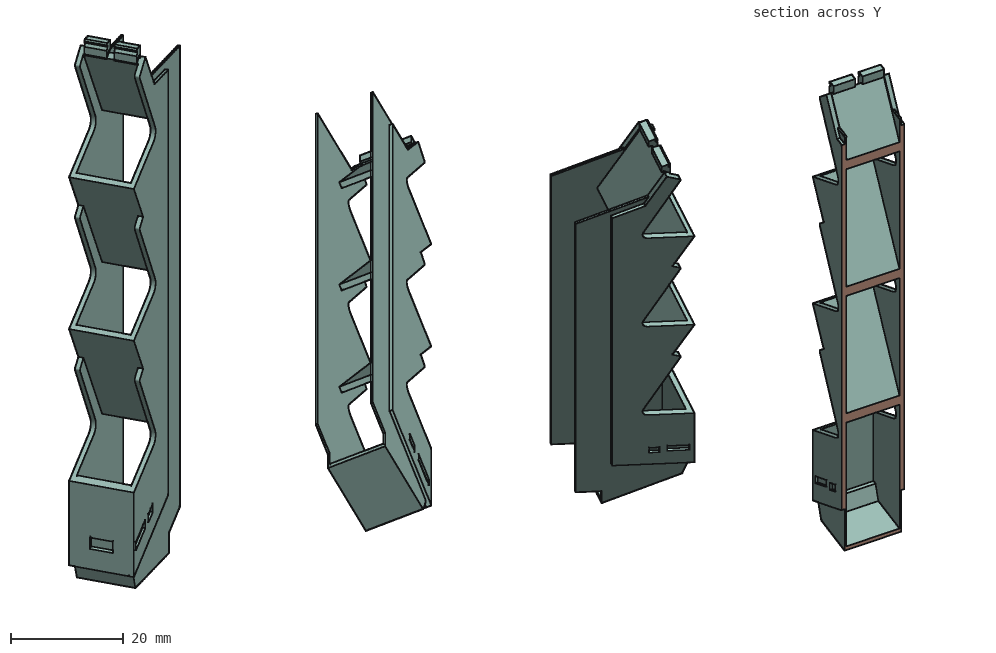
import cadquery as cq
import math

width = 12.5
depth = 22.76
height = 105.49

inner_half_width = 5.25
skirt_half_width = 5.65
cheek_half_width = width / 2
cheek_back = 15.95
cheek_top = 96.4
cheek_bottom_front = 3.25
skirt_top = 98.0
skirt_bottom_back = 6.9

base_back = 17.75
base_front_bottom = 2.15
base_front_top = 1.05
base_wall = 1.0
front_wall = 1.25

pitch = 30.0
tooth_count = 3
first_rim_height = 19.95
rim_angle = math.radians(30)
rim_slope = math.tan(rim_angle)
panel_slope = 1 / rim_slope
panel_thickness = 1.15
panel_length = 25.8
arm_thickness = 1.5
valley_depth = 10.75
valley_radius = 2.0
notch_depth = 4.28
notch_tip_depth = 2.6
notch_slope = math.tan(math.radians(45))
notch_tip_radius = 0.4

tab_inner_x = 0.72
tab_outer_x = 5.05
tab_back = 5.85
tab_front = 4.15
tab_lip_chamfer = 0.3
tab_lip_height = 0.6
tab_groove_depth = 0.4
tab_groove_height = 0.8
tab_groove_flat = 0.2

side_window_depth = 0.5
side_window_height = 1.65
side_windows = [(0.95, 5.25, 8.1), (6.75, 8.8, 11.05)]
front_window_depth = 0.5
front_window_width = 4.4
front_window_bottom = 7.25
front_window_top = 9.5


def slab(points, x_start, x_end):
    """Extrude a (Y, Z) outline between two X positions."""
    return cq.Workplane("YZ").workplane(offset=x_start).polyline(points).close().extrude(x_end - x_start)


def both_sides(solid):
    """Add the mirror image across X = 0."""
    return solid.union(solid.mirror("YZ"))


def along_rim(start, distance):
    """Move up and back, across a panel."""
    return (start[0] + distance * math.cos(rim_angle), start[1] + distance * math.sin(rim_angle))


def down_panel(start, distance):
    """Move down and back, along a panel."""
    return (start[0] + distance * math.sin(rim_angle), start[1] - distance * math.cos(rim_angle))


def rim_height(index):
    return first_rim_height + index * pitch


def notch_root(index):
    """Point on the panel above the given opening where the cheek is notched."""
    return (notch_depth, rim_height(index + 1) - notch_depth * panel_slope)


def notch_tip(index):
    root_y, root_z = notch_root(index)
    return (notch_tip_depth, root_z - (root_y - notch_tip_depth) * notch_slope)


arm_front_root = notch_root(tooth_count - 1)


def on_arm_end(thickness):
    """Point on the sloping end line, the given thickness behind the panel front."""
    run = thickness / (math.cos(rim_angle) + notch_slope * math.sin(rim_angle))
    return (arm_front_root[0] + run, arm_front_root[1] + run * notch_slope)


arm_end = on_arm_end(arm_thickness)


def arm_back(z):
    """Depth of the back edge of the arm at the given height."""
    return arm_end[0] + (arm_end[1] - z) / panel_slope


def round_corner(cheek, corner, radius):
    """Fillet the cheek edge that runs along X through a (Y, Z) corner."""
    middle = ((inner_half_width + cheek_half_width) / 2, corner[0], corner[1])
    return cheek.edges(cq.selectors.NearestToPointSelector(middle)).fillet(radius)


def make_cheek():
    outline = [(0, cheek_bottom_front)]
    for index in range(tooth_count):
        rim = rim_height(index)
        outline.append((0, rim))
        outline.append((valley_depth, rim + valley_depth * rim_slope))
        outline.append(notch_tip(index))
        if index < tooth_count - 1:
            outline.append(notch_root(index))
    outline.append(arm_end)
    outline.append((arm_back(cheek_top), cheek_top))
    outline.append((cheek_back, cheek_top))
    outline.append((cheek_back, cheek_bottom_front + cheek_back * rim_slope))
    cheek = slab(outline, inner_half_width, cheek_half_width)
    for index in range(tooth_count):
        valley = (valley_depth, rim_height(index) + valley_depth * rim_slope)
        cheek = round_corner(cheek, valley, valley_radius)
        cheek = round_corner(cheek, notch_tip(index), notch_tip_radius)
    return cheek


def make_skirt():
    outline = [
        (base_front_bottom, 0),
        (base_back, 0),
        (base_back, skirt_bottom_back - (depth - base_back) * rim_slope),
        (depth, skirt_bottom_back),
        (depth, skirt_top),
        (arm_back(skirt_top), skirt_top),
        (valley_depth, rim_height(tooth_count - 1) + valley_depth * rim_slope),
        (valley_depth, first_rim_height),
        (base_front_top, first_rim_height),
        (base_front_top, cheek_bottom_front),
    ]
    return slab(outline, inner_half_width, skirt_half_width)


def make_panel(index):
    """Sloping panel above the given opening, filling the gap between the cheeks."""
    top_front = (0, rim_height(index + 1))
    bottom_front = down_panel(top_front, panel_length)
    bottom_back = along_rim(bottom_front, panel_thickness)
    if index < tooth_count - 1:
        upper_end = [along_rim(top_front, panel_thickness), top_front]
    else:
        upper_end = [on_arm_end(panel_thickness), arm_front_root]
    return slab([bottom_front, bottom_back] + upper_end, -inner_half_width, inner_half_width)


def make_front_wall():
    outline = [
        (0, cheek_bottom_front),
        (0, first_rim_height),
        along_rim((0, first_rim_height), front_wall / math.cos(rim_angle)),
        (front_wall, cheek_bottom_front),
    ]
    return slab(outline, -inner_half_width, inner_half_width)


def make_base():
    """Flat floor with a sloping wall that rises to meet the front wall."""
    section = [
        (base_front_bottom, 0),
        (base_back, 0),
        (base_back, base_wall),
        (base_front_bottom + base_wall, base_wall),
        (base_front_top + base_wall, cheek_bottom_front + base_wall),
        (0, cheek_bottom_front + base_wall),
        (0, cheek_bottom_front),
        (base_front_top, cheek_bottom_front),
    ]
    return slab(section, -inner_half_width, inner_half_width)


def make_tab():
    groove_top = height - tab_lip_height
    groove_bottom = groove_top - tab_groove_height
    groove_y = tab_front + tab_groove_depth
    root_y, root_z = arm_front_root
    outline = [
        (tab_back, height),
        (tab_front + tab_lip_chamfer, height),
        (tab_front, height - tab_lip_chamfer),
        (tab_front, groove_top),
        (groove_y, groove_top),
        (groove_y, groove_top - tab_groove_flat),
        (tab_front, groove_bottom),
        (tab_front, root_z - (root_y - tab_front) * notch_slope),
        arm_front_root,
        arm_end,
        (tab_back, arm_end[1]),
    ]
    return slab(outline, tab_inner_x, tab_outer_x)


def make_front_window():
    """Blind slot whose floor and roof rise toward the back like the rims."""
    rise = front_window_depth * rim_slope
    outline = [
        (0, front_window_bottom),
        (front_window_depth, front_window_bottom + rise),
        (front_window_depth, front_window_top + rise),
        (0, front_window_top),
    ]
    return slab(outline, -front_window_width / 2, front_window_width / 2)


def make_side_window(near_y, far_y, near_z):
    far_z = near_z + (far_y - near_y) * rim_slope
    outline = [
        (near_y, near_z),
        (far_y, far_z),
        (far_y, far_z + side_window_height),
        (near_y, near_z + side_window_height),
    ]
    return slab(outline, cheek_half_width - side_window_depth, cheek_half_width)


result = both_sides(make_cheek().union(make_skirt()).union(make_tab()))
for opening in range(tooth_count):
    result = result.union(make_panel(opening))
result = result.union(make_front_wall()).union(make_base())
result = result.cut(make_front_window())
for window in side_windows:
    result = result.cut(both_sides(make_side_window(*window)))